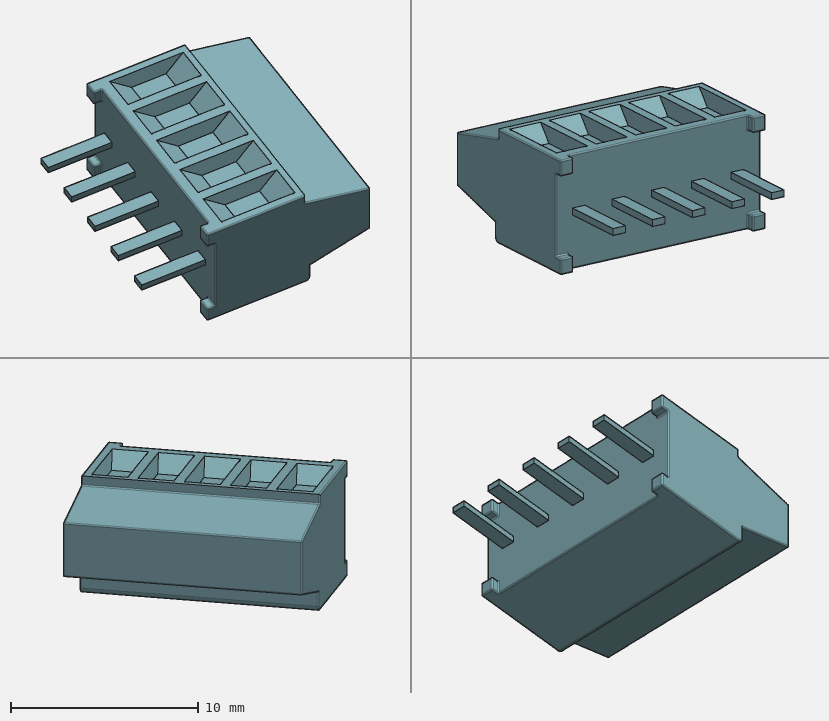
import cadquery as cq

width = 13.16
length = 13.4
height = 6.5
half_height = height / 2
back = length / 2
pin_tip = -length / 2

body_depth = 10.0
foot_length = 0.5
foot_width = 0.8
foot_height = 0.9
foot_front = back - body_depth
body_front = foot_front + foot_length

upper_step = back - 3.98
lower_step = back - 3.66
upper_shoulder = half_height - 0.54
lower_shoulder = 1.11 - half_height
nose_top = half_height - 1.38
nose_bottom = 2.1 - half_height

edge_round = 0.08
lower_corner_round = 0.3
selection_margin = 0.01

pole_count = 5
pitch = 2.55
pole_positions = [(i - (pole_count - 1) / 2) * pitch for i in range(pole_count)]

funnel_width = 1.98
funnel_length = 4.5
funnel_floor_width = 1.47
funnel_floor_length = 2.12
funnel_depth = 0.8
funnel_rear_wall = 0.36
funnel_center = upper_step - funnel_rear_wall - funnel_length / 2

pin_width = 0.8
pin_thickness = 0.39
pin_embed = 0.27


def edge_at(y, z):
    """Selector for the edge that runs across the width at the given y and z."""
    return cq.selectors.BoxSelector(
        (-selection_margin, y - selection_margin, z - selection_margin),
        (selection_margin, y + selection_margin, z + selection_margin),
    )


def make_block():
    """Side outline extruded across the width, with its lower rear corner rounded."""
    outline = [
        (foot_front, -half_height),
        (lower_step, -half_height),
        (lower_step, lower_shoulder),
        (back, nose_bottom),
        (back, nose_top),
        (upper_step, upper_shoulder),
        (upper_step, half_height),
        (foot_front, half_height),
    ]
    block = cq.Workplane("YZ").polyline(outline).close().extrude(width / 2, both=True)
    return block.edges(edge_at(lower_step, -half_height)).fillet(lower_corner_round)


def make_front_recess():
    """Cross-shaped cutter that leaves a foot at each corner of the front face."""
    across = cq.Workplane("XY").box(width, foot_length, height - 2 * foot_height)
    upright = cq.Workplane("XY").box(width - 2 * foot_width, foot_length, height)
    return across.union(upright).translate((0, foot_front + foot_length / 2, 0))


def make_body():
    """Block with feet, all edges rounded but the upper step ridge and lower shoulder corner."""
    body = make_block().cut(make_front_recess())
    sharp_edges = edge_at(upper_step, half_height) + edge_at(lower_step, lower_shoulder)
    return body.edges(cq.selectors.InverseSelector(sharp_edges)).fillet(edge_round)


def make_funnel(x):
    """Rectangular opening tapering down from the top face to a flat floor."""
    return (
        cq.Workplane("XY", origin=(x, funnel_center, half_height))
        .rect(funnel_width, funnel_length)
        .workplane(offset=-funnel_depth)
        .rect(funnel_floor_width, funnel_floor_length)
        .loft(ruled=True)
    )


def make_pin(x):
    """Flat pin running forward from inside the body."""
    pin_back = body_front + pin_embed
    pin = cq.Workplane("XY").box(pin_width, pin_back - pin_tip, pin_thickness)
    return pin.translate((x, (pin_back + pin_tip) / 2, 0))


result = make_body()
for pole_x in pole_positions:
    result = result.cut(make_funnel(pole_x)).union(make_pin(pole_x))